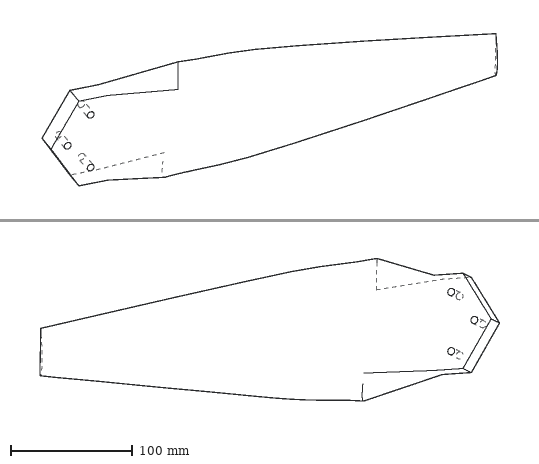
import cadquery as cq
import math

LENGTH = 400.0

HUB_THICKNESS = 20.0
HUB_WIDTH = 80.0
HUB_SHOULDER_Y = 25.0
HUB_END_Y = 50.5

HOLE_DIAMETER = 6.0
POINT_HOLE_Y = 15.0
SIDE_HOLE_Y = 35.0
SIDE_HOLE_Z = 25.0

CAMBER = 0.04
CAMBER_PLACE = 0.4
FOIL_THICKNESS = 0.12
FOIL_STEPS = 16

SHORT_SHARE = HUB_THICKNESS / (2 * (HUB_THICKNESS + HUB_WIDTH))
HUB_MATCHING_SHARES = [0, SHORT_SHARE, 0.5, 0.5 + SHORT_SHARE, 1]

FACE_SHARES = [0, 0.5, 1]

ROOT_Y = 110.5
STATIONS = [
    (ROOT_Y, 129.5, 14.8),
    (160.0, 117.0, 10.0),
    (200.0, 105.0, 7.0),
    (240.0, 91.0, 5.0),
    (280.0, 78.5, 3.6),
    (320.0, 65.5, 2.6),
    (360.0, 53.0, 1.8),
    (LENGTH, 40.0, 1.2),
]


def foil_point(chordwise, side):
    """Airfoil surface point; side is +1 for the suction face, -1 for the pressure face."""
    half_thickness = 5 * FOIL_THICKNESS * (
        0.2969 * math.sqrt(chordwise)
        - 0.1260 * chordwise
        - 0.3516 * chordwise**2
        + 0.2843 * chordwise**3
        - 0.1036 * chordwise**4
    )
    run = CAMBER_PLACE if chordwise < CAMBER_PLACE else 1 - CAMBER_PLACE
    reach = (chordwise - CAMBER_PLACE) / run
    camber = CAMBER * (1 - reach**2)
    slope = math.atan(-2 * CAMBER * reach / run)
    along = chordwise - side * half_thickness * math.sin(slope)
    across = camber + side * half_thickness * math.cos(slope)
    return along, across


def foil_outline(y, chord, twist):
    """Closed airfoil from the trailing edge over the +X face, twisted about mid-chord."""
    lean = math.radians(twist)
    points = []
    for step in range(-FOIL_STEPS, FOIL_STEPS):
        chordwise = (1 - math.cos(math.pi * step / FOIL_STEPS)) / 2
        along, across = foil_point(chordwise, 1 if step < 0 else -1)
        z = (along - 0.5) * chord
        x = across * chord
        points.append(cq.Vector(
            x * math.cos(lean) + z * math.sin(lean),
            y,
            z * math.cos(lean) - x * math.sin(lean),
        ))
    points.append(points[0])
    return cq.Edge.makeSpline(points)


def cut_outline(outline, shares):
    """Wire of the closed outline, cut into edges at the given shares of its length."""
    cuts = [outline.paramAt(share) for share in shares]
    return cq.Wire.assembleEdges([outline.trim(start, end) for start, end in zip(cuts, cuts[1:])])


def make_hub():
    half_width = HUB_WIDTH / 2
    plate = (
        cq.Workplane("YZ")
        .polyline([
            (0, 0),
            (HUB_SHOULDER_Y, half_width),
            (HUB_END_Y, half_width),
            (HUB_END_Y, -half_width),
            (HUB_SHOULDER_Y, -half_width),
        ])
        .close()
        .extrude(HUB_THICKNESS / 2, both=True)
    )
    holes = (
        cq.Workplane("YZ")
        .pushPoints([
            (POINT_HOLE_Y, 0),
            (SIDE_HOLE_Y, SIDE_HOLE_Z),
            (SIDE_HOLE_Y, -SIDE_HOLE_Z),
        ])
        .circle(HOLE_DIAMETER / 2)
        .extrude(HUB_THICKNESS, both=True)
    )
    return plate.cut(holes)


def make_transition():
    """Ruled loft from the hub's end face to the root airfoil."""
    half_x = HUB_THICKNESS / 2
    half_z = HUB_WIDTH / 2
    corners = [(-half_x, half_z), (half_x, half_z), (half_x, -half_z), (-half_x, -half_z)]
    hub_face = cq.Wire.makePolygon([cq.Vector(x, HUB_END_Y, z) for x, z in corners], close=True)
    root = cut_outline(foil_outline(*STATIONS[0]), HUB_MATCHING_SHARES)
    return cq.Workplane(obj=cq.Solid.makeLoft([hub_face, root], True))


def make_blade():
    sections = [cut_outline(foil_outline(*station), FACE_SHARES) for station in STATIONS]
    return cq.Workplane(obj=cq.Solid.makeLoft(sections))


result = make_hub().union(make_transition()).union(make_blade())